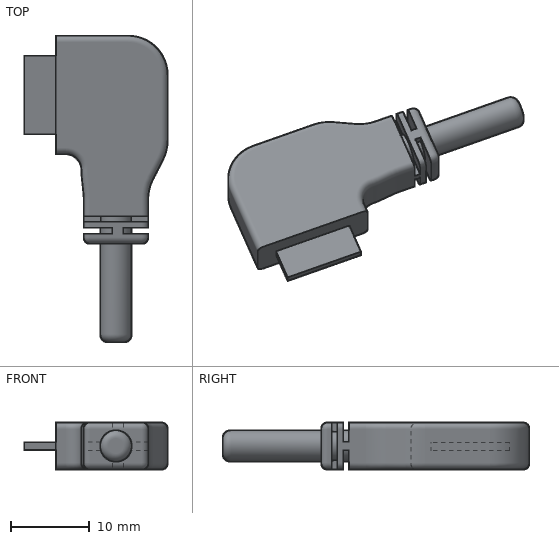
import cadquery as cq
import math


THICKNESS = 6.0
HEAD_WIDTH = 14.2
HEAD_OFFSET = 7.62
PLUG_FACE_LENGTH = 15.05
HOUSING_LENGTH = 26.4
NECK_WIDTH = 8.2
EDGE_RADIUS = 0.8
HEAD_CORNER_RADIUS = 5.0

SHOULDER_START = 13.25
SHOULDER_RADIUS = 5.45
SHOULDER_ANGLE = 27.0

LEDGE_LENGTH = 1.3
THROAT_RADIUS = 1.95
THROAT_FLAT = 0.25
TAPER_ANGLE = 6.0
TAPER_START_RADIUS = 5.85
TAPER_END_RADIUS = 7.78

GROOVE_WIDTH = 0.7
GROOVE_PITCH = 1.5
END_COLLAR_LENGTH = 1.32
END_GROOVE_WEB = 1.35
END_GROOVE_WEB_SHIFT = 0.25
INNER_GROOVE_WEB = 1.05

TAB_REACH = 4.0
TAB_WIDTH = 10.0
TAB_THICKNESS = 1.0

CABLE_DIAMETER = 4.0
CABLE_REACH = 12.5
CABLE_TIP_RADIUS = CABLE_DIAMETER / 4

left = -HEAD_OFFSET
right = left + HEAD_WIDTH
neck_half = NECK_WIDTH / 2
end_groove_start = END_COLLAR_LENGTH
inner_groove_start = end_groove_start + GROOVE_PITCH
core_depth = inner_groove_start + GROOVE_WIDTH
plug_face_front = HOUSING_LENGTH - PLUG_FACE_LENGTH


def s_bend(start, end_x, first_radius, last_radius, angle):
    """Points of an S-bend that leaves and arrives along -Y: arc, slope, arc.

    Returns the first arc's middle and end, the slope's end, and the last arc's middle and end.
    """
    x, y = start
    side = math.copysign(1, end_x - x)
    turn = math.radians(angle)

    def shift(radius, part):
        return radius * (1 - math.cos(part)), radius * math.sin(part)

    first_dx, first_dy = shift(first_radius, turn)
    first_mid_dx, first_mid_dy = shift(first_radius, turn / 2)
    last_dx, last_dy = shift(last_radius, turn)
    last_mid_dx, last_mid_dy = shift(last_radius, turn / 2)

    slope_dx = abs(end_x - x) - first_dx - last_dx
    end_y = y - first_dy - slope_dx / math.tan(turn) - last_dy
    return [
        (x + side * first_mid_dx, y - first_mid_dy),
        (x + side * first_dx, y - first_dy),
        (end_x - side * last_dx, end_y + last_dy),
        (end_x - side * last_mid_dx, end_y + last_mid_dy),
        (end_x, end_y),
    ]


def housing_blank():
    """Head and neck outline, extruded through the thickness, with every edge rounded but the plug face's."""
    throat_x = left + LEDGE_LENGTH + THROAT_RADIUS
    throat_y = plug_face_front - THROAT_RADIUS
    shoulder_y = HOUSING_LENGTH - SHOULDER_START
    shoulder = s_bend((right, shoulder_y), neck_half, SHOULDER_RADIUS, SHOULDER_RADIUS, SHOULDER_ANGLE)
    taper = s_bend((throat_x, throat_y - THROAT_FLAT), -neck_half,
                   TAPER_START_RADIUS, TAPER_END_RADIUS, TAPER_ANGLE)

    blank = (
        cq.Workplane("XY", origin=(0, 0, -THICKNESS / 2))
        .moveTo(left, HOUSING_LENGTH)
        .lineTo(right - HEAD_CORNER_RADIUS, HOUSING_LENGTH)
        .radiusArc((right, HOUSING_LENGTH - HEAD_CORNER_RADIUS), HEAD_CORNER_RADIUS)
        .lineTo(right, shoulder_y)
        .threePointArc(shoulder[0], shoulder[1])
        .lineTo(*shoulder[2])
        .threePointArc(shoulder[3], shoulder[4])
        .lineTo(neck_half, 0)
        .lineTo(-neck_half, 0)
        .lineTo(*taper[4])
        .threePointArc(taper[3], taper[2])
        .lineTo(*taper[1])
        .threePointArc(taper[0], (throat_x, throat_y - THROAT_FLAT))
        .lineTo(throat_x, throat_y)
        .radiusArc((left + LEDGE_LENGTH, plug_face_front), -THROAT_RADIUS)
        .lineTo(left, plug_face_front)
        .close()
        .extrude(THICKNESS)
    )
    end_corners = blank.faces("<Y").edges("|Z")
    broad_edges = blank.faces("|Z").edges("not(<X)")
    return blank.newObject(end_corners.vals() + broad_edges.vals()).fillet(EDGE_RADIUS)


def groove_cutter(start, web_x, web_z, web_shift=0):
    """Slab across the neck, less a web of the given size that stays uncut."""
    center_y = start + GROOVE_WIDTH / 2

    def slab(size_x, size_z):
        return cq.Workplane("XY").box(size_x, GROOVE_WIDTH, size_z).translate((0, center_y, 0))

    web = slab(web_x, web_z).translate((web_shift, 0, 0))
    return slab(2 * NECK_WIDTH, 2 * THICKNESS).cut(web)


def cable():
    """Cable that forms the core of both grooves and ends in a rounded tip."""
    return (
        cq.Workplane("XZ", origin=(0, core_depth, 0))
        .circle(CABLE_DIAMETER / 2)
        .extrude(core_depth + CABLE_REACH)
        .faces("<Y").edges().fillet(CABLE_TIP_RADIUS)
    )


def plug_tab():
    """Flat tongue standing on the middle of the plug face."""
    center_y = HOUSING_LENGTH - PLUG_FACE_LENGTH / 2
    return (
        cq.Workplane("YZ", origin=(left, 0, 0))
        .center(center_y, 0)
        .rect(TAB_WIDTH, TAB_THICKNESS)
        .extrude(-TAB_REACH)
    )


housing = (
    housing_blank()
    .cut(groove_cutter(end_groove_start, END_GROOVE_WEB, 2 * THICKNESS, END_GROOVE_WEB_SHIFT))
    .cut(groove_cutter(inner_groove_start, 2 * NECK_WIDTH, INNER_GROOVE_WEB))
    .union(cable())
)

tab = plug_tab()

result = cq.Compound.makeCompound([housing.val(), tab.val()])